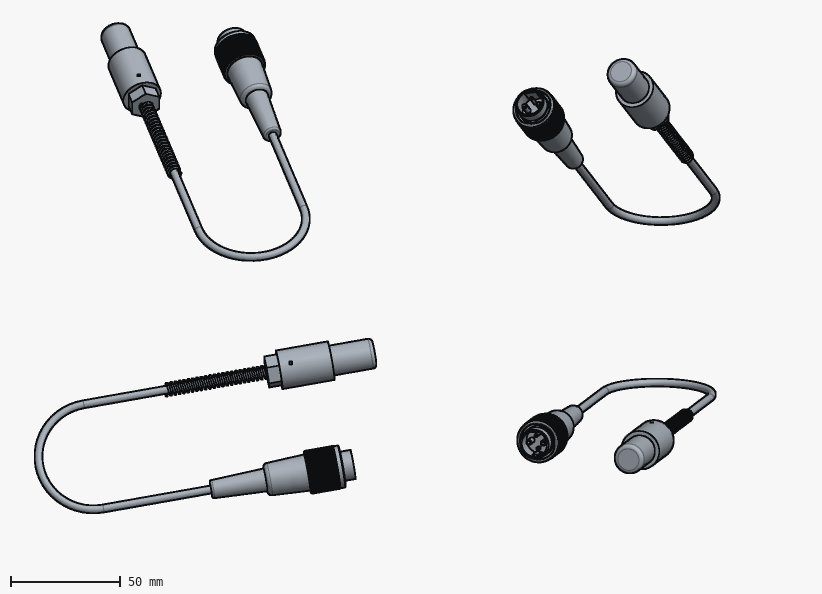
import cadquery as cq
import math

total_length = 161.8
axis_spacing = 50.0
bend_radius = axis_spacing / 2

tip_diameter = 13.9
tip_round = 2.0
sleeve_diameter = 18.0
sleeve_start_x = 20.0
sleeve_end_x = 44.2
hex_across_flats = 13.0
hex_end_x = 50.0
sleeve_hole_diameter = 1.5
sleeve_hole_depth = 1.0
sleeve_hole_x = 38.8

cable_diameter = 3.7
bend_start_x = total_length - bend_radius - cable_diameter / 2

wire_diameter = 1.0
spring_diameter = 6.3
coil_pitch = 2.0
coil_count = 24
spring_end_x = 97.0

shell_start_x = 19.1
shell_diameter = 13.6
shell_root_diameter = 14.0
shell_bore = 12.0
shell_bore_depth = 8.1
rib_width = 2.5
rib_top_z = -5.2
flat_key_z = 5.3
key_setback = 0.8
tab_width = 2.5
tab_reach = 7.8
boot_start_x = 40.5
boot_start_diameter = 16.8
boot_end_x = 59.7
boot_end_diameter = 14.9
boot_round = 2.0
tail_start_diameter = 10.7
tail_end_x = 85.0
tail_end_diameter = 8.4
tail_round = 1.0

ring_start_x = 24.1
ring_end_x = 40.3
ring_diameter = 19.9
ring_bore = 16.7
ring_recess_depth = 2.5
ring_round = 1.0
band_diameter = 19.5
knurl_start_x = 26.7
knurl_count = 120
knurl_depth = 0.5

pin_circle_radius = 3.4
slim_pin_diameter = 1.5
slim_pin_tip = 1.0
thick_pin_diameter = 2.5
thick_pin_tip = 1.49
long_pin_start_x = 21.4
short_pin_start_x = 24.8


def rod(start_x, end_x, diameter, axis_y=0.0):
    """A cylinder along X."""
    plane = cq.Workplane("YZ", origin=(start_x, axis_y, 0))
    return plane.circle(diameter / 2).extrude(end_x - start_x)


def cone(start_x, end_x, start_diameter, end_diameter):
    """A truncated cone along X on the plug axis."""
    outline = [
        (start_x, 0),
        (start_x, start_diameter / 2),
        (end_x, end_diameter / 2),
        (end_x, 0),
    ]
    profile = cq.Workplane("XY").polyline(outline).close()
    return profile.revolve(360, (0, 0, 0), (1, 0, 0)).translate((0, axis_spacing, 0))


def make_sensor():
    """A round-nosed tip, a wider sleeve with a small blind hole on top, and a hexagon."""
    tip = rod(0, sleeve_start_x, tip_diameter).faces("<X").edges().fillet(tip_round)
    sleeve = rod(sleeve_start_x, sleeve_end_x, sleeve_diameter)
    hex_across_corners = hex_across_flats / math.cos(math.pi / 6)
    hexagon = cq.Workplane("YZ", origin=(sleeve_end_x, 0, 0)).transformed(rotate=(0, 0, 90))
    hexagon = hexagon.polygon(6, hex_across_corners).extrude(hex_end_x - sleeve_end_x)
    sleeve_hole = cq.Workplane("XY", origin=(sleeve_hole_x, 0, sleeve_diameter / 2))
    sleeve_hole = sleeve_hole.circle(sleeve_hole_diameter / 2).extrude(-sleeve_hole_depth)
    return tip.union(sleeve).union(hexagon).cut(sleeve_hole)


def make_cable():
    """The cable runs from the hexagon, around a half circle, and back to the plug tail."""
    path = (
        cq.Workplane("XY")
        .moveTo(hex_end_x, 0)
        .lineTo(bend_start_x, 0)
        .threePointArc((bend_start_x + bend_radius, bend_radius), (bend_start_x, axis_spacing))
        .lineTo(tail_end_x, axis_spacing)
    )
    section = cq.Workplane("YZ", origin=(hex_end_x, 0, 0)).circle(cable_diameter / 2)
    return section.sweep(path)


def make_spring():
    """A right-handed coil whose first turn is ground flat against the hexagon."""
    coil_length = coil_count * coil_pitch
    coil_radius = (spring_diameter - wire_diameter) / 2
    helix = cq.Wire.makeHelix(coil_pitch, coil_length, coil_radius)
    section = cq.Workplane("XZ", origin=(coil_radius, 0, 0)).circle(wire_diameter / 2)
    coil = section.sweep(cq.Workplane(helix), isFrenet=True)
    coil = coil.rotate((0, 0, 0), (0, 0, 1), 90).rotate((0, 0, 0), (0, 1, 0), 90)
    coil = coil.translate((spring_end_x - coil_length, 0, 0))
    return coil.cut(rod(hex_end_x - 2 * coil_pitch, hex_end_x, 2 * spring_diameter))


def make_plug():
    """A hollow shell with keys and tabs, a core under the coupling ring, and a tapered boot."""
    floor_x = shell_start_x + shell_bore_depth
    recess_floor_x = ring_start_x + ring_recess_depth
    shell = rod(shell_start_x, ring_start_x, shell_diameter, axis_spacing)
    shell_root = rod(ring_start_x, recess_floor_x, shell_root_diameter, axis_spacing)
    tabs = cq.Workplane("XY", origin=(ring_start_x, axis_spacing, 0))
    tabs = tabs.box(ring_recess_depth, tab_width, 2 * tab_reach, centered=(False, True, True))
    core = rod(recess_floor_x, boot_start_x, ring_bore, axis_spacing)
    boot = cone(boot_start_x, boot_end_x, boot_start_diameter, boot_end_diameter)
    boot = boot.faces(">X").edges().fillet(boot_round)
    tail = cone(boot_end_x, tail_end_x, tail_start_diameter, tail_end_diameter)
    tail = tail.faces(">X").edges().fillet(tail_round)
    bore = rod(shell_start_x, floor_x, shell_bore, axis_spacing).cut(make_keys(floor_x))
    body = shell.union(shell_root).union(tabs).union(core).union(boot).union(tail)
    return body.cut(bore)


def make_keys(floor_x):
    """Two keys in the shell: a flat across the top of the bore and a narrow rib at its bottom."""
    start_x = shell_start_x + key_setback
    length = floor_x - start_x
    start = cq.Workplane("XY", origin=(start_x, axis_spacing, 0))
    flat = start.box(length, shell_bore, shell_bore, centered=(False, True, False))
    flat = flat.translate((0, 0, flat_key_z))
    rib = start.box(length, rib_width, shell_bore, centered=(False, True, False))
    rib = rib.translate((0, 0, rib_top_z - shell_bore))
    return flat.union(rib)


def make_coupling_ring():
    """A ring with a plain front band and a straight knurl behind it."""
    blank = rod(ring_start_x, ring_end_x, ring_diameter, axis_spacing)
    blank = blank.edges().fillet(ring_round)
    crest = ring_diameter / 2
    points = []
    for i in range(2 * knurl_count):
        radius = crest - knurl_depth * (i % 2)
        angle = math.pi * i / knurl_count
        points.append((radius * math.cos(angle), radius * math.sin(angle)))
    knurl = cq.Workplane("YZ", origin=(knurl_start_x, axis_spacing, 0)).polyline(points).close()
    knurl = knurl.extrude(ring_end_x - knurl_start_x)
    band = rod(ring_start_x, knurl_start_x, band_diameter, axis_spacing)
    bore = rod(ring_start_x, ring_end_x, ring_bore, axis_spacing)
    return blank.intersect(knurl.union(band)).cut(bore)


def make_pin(angle, diameter, end_diameter, start_x):
    """A chamfered pin on the floor of the shell; the angle runs from +Y towards +Z."""
    end_x = shell_start_x + shell_bore_depth
    pin = rod(start_x, end_x, diameter, axis_spacing)
    pin = pin.faces("<X").edges().chamfer((diameter - end_diameter) / 2)
    offset_y = pin_circle_radius * math.cos(math.radians(angle))
    offset_z = pin_circle_radius * math.sin(math.radians(angle))
    return pin.translate((0, offset_y, offset_z))


sensor = make_sensor()
cable = make_cable()
spring = make_spring()
plug = make_plug()
coupling_ring = make_coupling_ring()
pins = []
for angle in (0, 180):
    pins.append(make_pin(angle, thick_pin_diameter, thick_pin_tip, long_pin_start_x))
for angle, start_x in ((90, long_pin_start_x), (270, short_pin_start_x)):
    pins.append(make_pin(angle, slim_pin_diameter, slim_pin_tip, start_x))

result = cq.Compound.makeCompound(
    [
        sensor.val(),
        cable.val(),
        spring.val(),
        plug.val(),
        coupling_ring.val(),
        *[pin.val() for pin in pins],
    ]
)